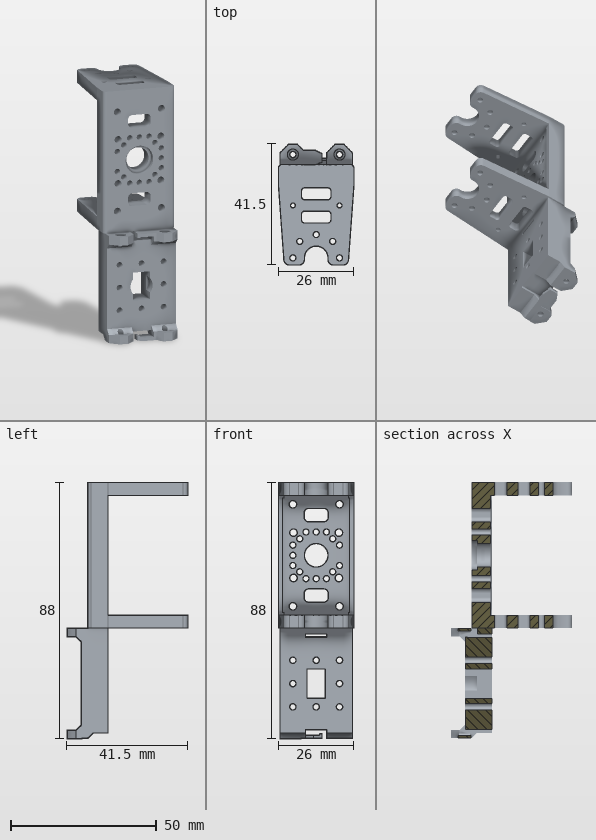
import cadquery as cq
import math


BRACKET_WIDTH = 26.0
BRACKET_HEIGHT = 50.0
PLATE_DEPTH = 7.0
BACK_CORNER_RADIUS = 1.2

ARM_LENGTH = 27.5
ARM_THICKNESS = 4.5
ARM_TIP_WIDTH = 22.0
ARM_TIP_RADIUS = 2.0

HORN_RADIUS = 8.0
HORN_HOLE_DIAMETER = 2.0
HUB_DIAMETER = 8.0

ARM_HORN_Y = -25.0
ARM_SIDE_HOLE_DIAMETER = 1.6
ARM_SIDE_HOLE_Y = -7.0
ARM_SIDE_HOLE_X = 8.0
ARM_SLOT_LENGTH = 10.0
ARM_SLOT_WIDTH = 4.0
ARM_SLOT_RADIUS = 1.0
ARM_SLOT_OFFSET = 4.0

RECESS_DEPTH = 0.5
RECESS_WIDTH = 23.0
RECESS_END_WIDTH = 22.0
RECESS_END_LENGTH = 0.8

PLATE_CENTRE_Z = BRACKET_HEIGHT / 2
PLATE_HORN_SPREAD = 3.5
PLATE_BOLT_DIAMETER = 2.5
PLATE_BOLT_RADIUS = 11.0
PLATE_CORNER_X = 8.0
PLATE_CORNER_Z = 17.5
PLATE_SLOT_LENGTH = 8.2
PLATE_SLOT_HEIGHT = 4.5
PLATE_SLOT_RADIUS = 1.5
PLATE_SLOT_OFFSET = 13.8
PLATE_BORE_DIAMETER = 10.0
PLATE_BORE_START = 5.0

BASE_WIDTH = 25.0
BASE_HEIGHT = 38.0
BASE_DEPTH = 9.25
BASE_CENTRE_Z = -BASE_HEIGHT / 2

EAR_THICKNESS = 3.0
EAR_TIP_Y = 14.0
EAR_TIP_WIDTH = 3.0
EAR_HOLE_X = 8.0
EAR_HOLE_Y = 10.45
EAR_HOLE_DIAMETER = 2.05
EAR_SEAT_DIAMETER = 3.8
EAR_SEAT_DEPTH = 1.0
EAR_CHAMFER = BASE_WIDTH / 2 - EAR_HOLE_X - EAR_TIP_WIDTH / 2
EAR_SHOULDER_Y = EAR_TIP_Y - EAR_CHAMFER
GUSSET = EAR_SHOULDER_Y - BASE_DEPTH

FOOT_STEP = 0.2
FOOT_WIDTH = 7.2
FOOT_START_Y = 9.0
BOTTOM_Z = -BASE_HEIGHT + FOOT_STEP
FRONT_WALL = 2.0
RELIEF_START_Y = 5.05

GAP_WIDTH = 7.2
GAP_HEIGHT = 3.15
LIP_HEIGHT = 0.25
LIP_START_Y = 8.5

LATCH_FRONT_Y = 6.8
LATCH_BACK_Y = 12.0
LATCH_TIP_X = 2.05
LATCH_TIP_FRONT_Y = 7.75
LATCH_TIP_BACK_Y = 10.8
LATCH_FRONT_BEND_X = -0.85
LATCH_BACK_BEND_X = -0.4
LATCH_THICKNESS = 1.1
LATCH_HOOK_HEIGHT = 0.5
LATCH_HOOK_WIDTH = 1.1
LATCH_HOOK_SLOPE = 0.3

BASE_HOLE_DIAMETER = 2.1
BASE_HOLE_PITCH = 8.0
WINDOW_WIDTH = 6.2
WINDOW_HEIGHT = 9.9
WINDOW_BORE_DIAMETER = 8.0
WINDOW_BORE_START = 5.0


def box(x_range, y_range, z_range):
    """Box spanning the three given (low, high) ranges."""
    size = [high - low for low, high in (x_range, y_range, z_range)]
    corner = (x_range[0], y_range[0], z_range[0])
    return cq.Workplane("XY").box(*size, centered=False).translate(corner)


def centred(width):
    """Range of the given width about zero."""
    return (-width / 2, width / 2)


def bores_along_y(points, diameter, start_y, end_y):
    """Cylinders along +Y at the given (x, z) points."""
    plane = cq.Workplane("XZ", origin=(0, start_y, 0))
    return plane.pushPoints(points).circle(diameter / 2).extrude(start_y - end_y)


def bores_along_z(points, diameter, start_z, end_z):
    """Cylinders along +Z at the given (x, y) points."""
    plane = cq.Workplane("XY", origin=(0, 0, start_z))
    return plane.pushPoints(points).circle(diameter / 2).extrude(end_z - start_z)


def circle_points(radius, angles, centre_x, centre_v):
    """Points on a circle at the given angles in degrees."""
    return [
        (
            centre_x + radius * math.cos(math.radians(angle)),
            centre_v + radius * math.sin(math.radians(angle)),
        )
        for angle in angles
    ]


def arm_outline_body():
    """Plan shape of plate and arm together, over the full bracket height."""
    half_back = BRACKET_WIDTH / 2
    half_tip = ARM_TIP_WIDTH / 2
    half_notch = HUB_DIAMETER / 2
    body = (
        cq.Workplane("XY")
        .moveTo(-half_back, PLATE_DEPTH)
        .lineTo(half_back, PLATE_DEPTH)
        .lineTo(half_back, 0)
        .lineTo(half_tip, -ARM_LENGTH)
        .lineTo(half_notch, -ARM_LENGTH)
        .lineTo(half_notch, ARM_HORN_Y)
        .threePointArc((0, ARM_HORN_Y + half_notch), (-half_notch, ARM_HORN_Y))
        .lineTo(-half_notch, -ARM_LENGTH)
        .lineTo(-half_tip, -ARM_LENGTH)
        .lineTo(-half_back, 0)
        .close()
        .extrude(BRACKET_HEIGHT)
    )
    tip_corners = cq.selectors.BoxSelector(
        (-half_back, -ARM_LENGTH - 1, 0),
        (half_back, -ARM_LENGTH + ARM_TIP_RADIUS / 10, BRACKET_HEIGHT),
    )
    body = body.edges("|Z").edges(tip_corners).fillet(ARM_TIP_RADIUS)
    return body.edges("|Z and >Y").fillet(BACK_CORNER_RADIUS)


def arm_cutouts():
    """Holes and slots that run through both arms."""
    horn = circle_points(HORN_RADIUS, range(0, 181, 45), 0, ARM_HORN_Y)
    cuts = bores_along_z(horn, HORN_HOLE_DIAMETER, 0, BRACKET_HEIGHT)
    side = [(x, ARM_SIDE_HOLE_Y) for x in (-ARM_SIDE_HOLE_X, ARM_SIDE_HOLE_X)]
    cuts = cuts.add(bores_along_z(side, ARM_SIDE_HOLE_DIAMETER, 0, BRACKET_HEIGHT))
    for offset in (-ARM_SLOT_OFFSET, ARM_SLOT_OFFSET):
        middle = ARM_SIDE_HOLE_Y + offset
        slot = box(
            centred(ARM_SLOT_LENGTH),
            (middle - ARM_SLOT_WIDTH / 2, middle + ARM_SLOT_WIDTH / 2),
            (0, BRACKET_HEIGHT),
        )
        cuts = cuts.add(slot.edges("|Z").fillet(ARM_SLOT_RADIUS))
    return cuts


def plate_recess():
    """Shallow pocket in the front of the plate, narrower next to each arm."""
    low = ARM_THICKNESS
    high = BRACKET_HEIGHT - ARM_THICKNESS
    wide = (low + RECESS_END_LENGTH, high - RECESS_END_LENGTH)
    recess = box(centred(RECESS_END_WIDTH), (0, RECESS_DEPTH), (low, high))
    return recess.union(box(centred(RECESS_WIDTH), (0, RECESS_DEPTH), wide))


def plate_cutouts():
    """Holes and slots through the upright plate."""
    centre = PLATE_CENTRE_Z
    spread = PLATE_HORN_SPREAD
    horn = circle_points(HORN_RADIUS, range(45, 360, 90), 0, centre)
    for side in (-1, 1):
        edge = side * HORN_RADIUS
        horn += [(offset, centre + edge) for offset in (-spread, 0, spread)]
        horn += [(edge, centre + offset) for offset in (-spread, spread)]
    horn.append((-HORN_RADIUS, centre))

    bolts = circle_points(PLATE_BOLT_RADIUS, range(45, 360, 90), 0, centre)
    for side in (-1, 1):
        bolts += [(x, centre + side * PLATE_CORNER_Z) for x in (-PLATE_CORNER_X, PLATE_CORNER_X)]

    cuts = bores_along_y(horn, HORN_HOLE_DIAMETER, 0, PLATE_DEPTH)
    cuts = cuts.add(bores_along_y(bolts, PLATE_BOLT_DIAMETER, 0, PLATE_DEPTH))
    cuts = cuts.add(bores_along_y([(0, centre)], HUB_DIAMETER, 0, PLATE_DEPTH))
    for offset in (-PLATE_SLOT_OFFSET, PLATE_SLOT_OFFSET):
        middle = centre + offset
        slot = box(
            centred(PLATE_SLOT_LENGTH),
            (0, PLATE_DEPTH),
            (middle - PLATE_SLOT_HEIGHT / 2, middle + PLATE_SLOT_HEIGHT / 2),
        )
        cuts = cuts.add(slot.edges("|Y").fillet(PLATE_SLOT_RADIUS))
    return cuts


def cut_all(body, tools):
    """Subtract every solid of a Workplane from the body."""
    for tool in tools.vals():
        body = body.cut(cq.Workplane(tool))
    return body


def make_bracket():
    """Servo bracket: C-shaped plate and arms with their hole patterns."""
    body = arm_outline_body()
    between_arms = box(
        centred(BRACKET_WIDTH),
        (-ARM_LENGTH, 0),
        (ARM_THICKNESS, BRACKET_HEIGHT - ARM_THICKNESS),
    )
    body = body.cut(between_arms)
    body = cut_all(body, arm_cutouts())
    body = body.cut(plate_recess())
    body = cut_all(body, plate_cutouts())
    back_bore = bores_along_y(
        [(0, PLATE_CENTRE_Z)], PLATE_BORE_DIAMETER, PLATE_BORE_START, PLATE_DEPTH
    )
    return body.cut(back_bore)


def base_profile_body():
    """Side profile of the block with both ear levels, over the full width."""
    lower_ear_top = -BASE_HEIGHT + EAR_THICKNESS
    relief_z = -BASE_HEIGHT + FRONT_WALL
    relief_end_y = RELIEF_START_Y + relief_z - BOTTOM_Z
    points = [
        (0, 0),
        (EAR_TIP_Y, 0),
        (EAR_TIP_Y, -EAR_THICKNESS),
        (EAR_SHOULDER_Y, -EAR_THICKNESS),
        (BASE_DEPTH, -EAR_THICKNESS - GUSSET),
        (BASE_DEPTH, lower_ear_top + GUSSET),
        (EAR_SHOULDER_Y, lower_ear_top),
        (EAR_TIP_Y, lower_ear_top),
        (EAR_TIP_Y, BOTTOM_Z),
        (relief_end_y, BOTTOM_Z),
        (RELIEF_START_Y, relief_z),
        (0, relief_z),
    ]
    plane = cq.Workplane("YZ", origin=(-BASE_WIDTH / 2, 0, 0))
    return plane.polyline(points).close().extrude(BASE_WIDTH)


def ear_plan():
    """Plan shape of the block and ears: chamfered tips, the left ear stepped at the latch root."""
    half = BASE_WIDTH / 2
    half_tip = EAR_TIP_WIDTH / 2
    inner = GAP_WIDTH / 2
    inner_shoulder_y = EAR_TIP_Y - (EAR_HOLE_X - half_tip - inner)
    right = [
        (half, EAR_SHOULDER_Y),
        (EAR_HOLE_X + half_tip, EAR_TIP_Y),
        (EAR_HOLE_X - half_tip, EAR_TIP_Y),
        (inner, inner_shoulder_y),
        (inner, BASE_DEPTH),
    ]
    left_tip_x = -EAR_HOLE_X + half_tip
    left = [
        (-inner, BASE_DEPTH),
        (-inner, LATCH_BACK_Y),
        (left_tip_x + EAR_TIP_Y - LATCH_BACK_Y, LATCH_BACK_Y),
        (left_tip_x, EAR_TIP_Y),
        (-EAR_HOLE_X - half_tip, EAR_TIP_Y),
        (-half, EAR_SHOULDER_Y),
    ]
    outline = [(-half, 0), (half, 0)] + right + left
    plane = cq.Workplane("XY", origin=(0, 0, -BASE_HEIGHT))
    return plane.polyline(outline).close().extrude(BASE_HEIGHT)


def foot():
    """Thin pad under the lower left ear."""
    left = -BASE_WIDTH / 2
    pad = box((left, left + FOOT_WIDTH), (FOOT_START_Y, EAR_TIP_Y), (-BASE_HEIGHT, BOTTOM_Z))
    return pad.intersect(ear_plan())


def latch_gaps():
    """Clearance between the ears at both ends of the block."""
    gap = centred(GAP_WIDTH)
    through = (0, EAR_TIP_Y)
    slit = box(gap, through, (-GAP_HEIGHT, -FRONT_WALL))
    pocket = box(gap, (RELIEF_START_Y, EAR_TIP_Y), (-GAP_HEIGHT, 0))
    notch = box(gap, through, (-BASE_HEIGHT, -BASE_HEIGHT + GAP_HEIGHT))
    return slit.union(pocket).union(notch)


def latch_lip():
    """Low rib along the back edge of the upper gap."""
    floor_z = -GAP_HEIGHT
    return box(centred(GAP_WIDTH), (LIP_START_Y, BASE_DEPTH), (floor_z, floor_z + LIP_HEIGHT))


def make_latch(outer_z, inward):
    """Snap tongue from the left ear; inward is the sign of z toward the block's middle."""
    root_x = -GAP_WIDTH / 2
    plan = [
        (root_x, LATCH_FRONT_Y),
        (LATCH_FRONT_BEND_X, LATCH_FRONT_Y),
        (LATCH_TIP_X, LATCH_TIP_FRONT_Y),
        (LATCH_TIP_X, LATCH_TIP_BACK_Y),
        (LATCH_BACK_BEND_X, LATCH_BACK_Y),
        (root_x, LATCH_BACK_Y),
    ]
    hook_start_x = LATCH_TIP_X - LATCH_HOOK_WIDTH
    hook_height = LATCH_THICKNESS + LATCH_HOOK_HEIGHT
    side = [
        (root_x, 0),
        (LATCH_TIP_X, 0),
        (LATCH_TIP_X, hook_height),
        (hook_start_x + LATCH_HOOK_SLOPE, hook_height),
        (hook_start_x, LATCH_THICKNESS),
        (root_x, LATCH_THICKNESS),
    ]
    side = [(x, outer_z + inward * height) for x, height in side]
    tongue = cq.Workplane("XZ").polyline(side).close().extrude(-EAR_TIP_Y)
    footprint = cq.Workplane("XY", origin=(0, 0, outer_z)).polyline(plan).close()
    return tongue.intersect(footprint.extrude(inward * hook_height))


def base_cutouts():
    """Mounting holes, window and ear holes."""
    steps = (-BASE_HOLE_PITCH, 0, BASE_HOLE_PITCH)
    grid = [(x, BASE_CENTRE_Z + dz) for x in steps for dz in steps if (x, dz) != (0, 0)]
    cuts = bores_along_y(grid, BASE_HOLE_DIAMETER, 0, BASE_DEPTH)
    window_z = (BASE_CENTRE_Z - WINDOW_HEIGHT / 2, BASE_CENTRE_Z + WINDOW_HEIGHT / 2)
    cuts = cuts.add(box(centred(WINDOW_WIDTH), (0, BASE_DEPTH), window_z))
    cuts = cuts.add(
        bores_along_y([(0, BASE_CENTRE_Z)], WINDOW_BORE_DIAMETER, WINDOW_BORE_START, BASE_DEPTH)
    )
    ears = [(x, EAR_HOLE_Y) for x in (-EAR_HOLE_X, EAR_HOLE_X)]
    cuts = cuts.add(bores_along_z(ears, EAR_HOLE_DIAMETER, -BASE_HEIGHT, 0))
    return cuts.add(bores_along_z(ears, EAR_SEAT_DIAMETER, -EAR_SEAT_DEPTH, 0))


def make_base():
    """Hinge base: block, ears, latches and holes."""
    body = base_profile_body().intersect(ear_plan())
    body = body.union(foot())
    body = body.cut(latch_gaps())
    body = body.union(latch_lip())
    body = body.union(make_latch(0, -1))
    body = body.union(make_latch(BOTTOM_Z, 1))
    return cut_all(body, base_cutouts())


bracket = make_bracket()
base = make_base()

result = cq.Compound.makeCompound([bracket.val(), base.val()])